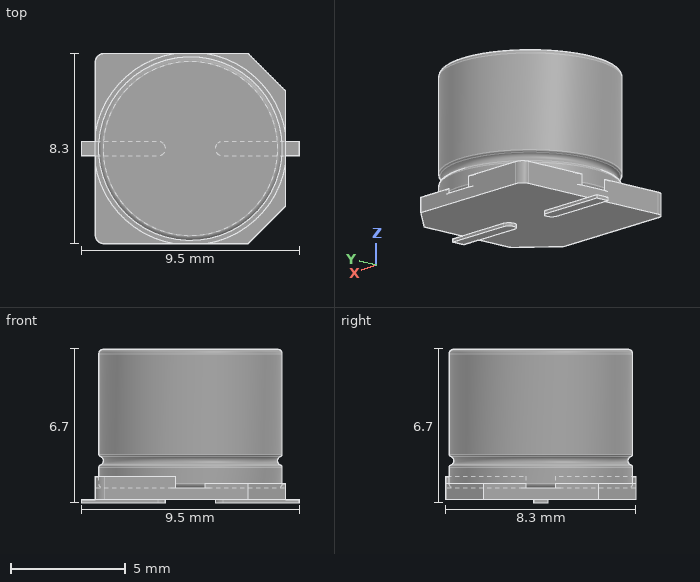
import cadquery as cq
import math


total_length = 9.5
total_height = 6.7

lead_width = 0.64
lead_thickness = 0.15
lead_inner_end = 1.09

base_side = 8.3
base_thickness = 1.0
base_corner_radius = 0.4
base_chamfer = 1.64
low_corner_drop = 0.3
base_bottom = lead_thickness
base_top = base_bottom + base_thickness
recess_radius = 4.2
recess_depth = 0.5
recess_floor = base_top - recess_depth

groove_above_base_bottom = 1.69
can_radius = 4.0
can_edge_radius = 0.2
groove_height = base_bottom + groove_above_base_bottom
groove_radius = 0.2
groove_lip_radius = 0.1


def make_base():
    """Square base with rounded -X corners, cut +X corners, and a round seat for the can."""
    base = cq.Workplane("XY").workplane(offset=base_bottom).rect(base_side, base_side).extrude(base_thickness)
    base = base.edges("|Z and <X").fillet(base_corner_radius)
    base = base.edges("|Z and >X").chamfer(base_chamfer)

    half_side = base_side / 2
    low_corners = cq.Workplane("XY").box(
        half_side, base_side, low_corner_drop, centered=(False, True, False)
    ).translate((0, 0, base_top - low_corner_drop))

    seat = cq.Workplane("XY").workplane(offset=recess_floor).circle(recess_radius).extrude(recess_depth)
    return base.cut(low_corners).cut(seat)


def make_can():
    """Can revolved about Z, with rounded rims and a crimp groove that has rounded lips."""
    rim_inner = can_radius - can_edge_radius
    rim_mid = rim_inner + can_edge_radius * math.sqrt(0.5)
    rim_mid_inset = can_radius - rim_mid

    lip_center_radius = can_radius - groove_lip_radius
    center_distance = groove_radius + groove_lip_radius
    lip_offset = math.sqrt(center_distance**2 - groove_lip_radius**2)
    touch_ratio = groove_radius / center_distance
    touch_radius = can_radius - groove_lip_radius * touch_ratio
    touch_offset = lip_offset * touch_ratio

    lip_half_angle = math.atan2(lip_offset - touch_offset, touch_radius - lip_center_radius) / 2
    lip_mid_radius = lip_center_radius + groove_lip_radius * math.cos(lip_half_angle)
    lip_mid_offset = lip_offset - groove_lip_radius * math.sin(lip_half_angle)

    profile = (
        cq.Workplane("XZ")
        .moveTo(0, recess_floor)
        .lineTo(rim_inner, recess_floor)
        .threePointArc((rim_mid, recess_floor + rim_mid_inset), (can_radius, recess_floor + can_edge_radius))
        .lineTo(can_radius, groove_height - lip_offset)
        .threePointArc(
            (lip_mid_radius, groove_height - lip_mid_offset),
            (touch_radius, groove_height - touch_offset),
        )
        .threePointArc(
            (can_radius - groove_radius, groove_height),
            (touch_radius, groove_height + touch_offset),
        )
        .threePointArc(
            (lip_mid_radius, groove_height + lip_mid_offset),
            (can_radius, groove_height + lip_offset),
        )
        .lineTo(can_radius, total_height - can_edge_radius)
        .threePointArc((rim_mid, total_height - rim_mid_inset), (rim_inner, total_height))
        .lineTo(0, total_height)
        .close()
    )
    return profile.revolve(360, (0, 0, 0), (0, 1, 0))


def make_lead(side):
    """Flat lead under the base with a half-round inner end; side is -1 or +1 along X."""
    half_width = lead_width / 2
    outer_x = side * total_length / 2
    round_start_x = side * (lead_inner_end + half_width)
    return (
        cq.Workplane("XY")
        .moveTo(outer_x, -half_width)
        .lineTo(round_start_x, -half_width)
        .threePointArc((side * lead_inner_end, 0), (round_start_x, half_width))
        .lineTo(outer_x, half_width)
        .close()
        .extrude(lead_thickness)
    )


result = make_base().union(make_can())
for lead_side in (-1, 1):
    result = result.union(make_lead(lead_side))